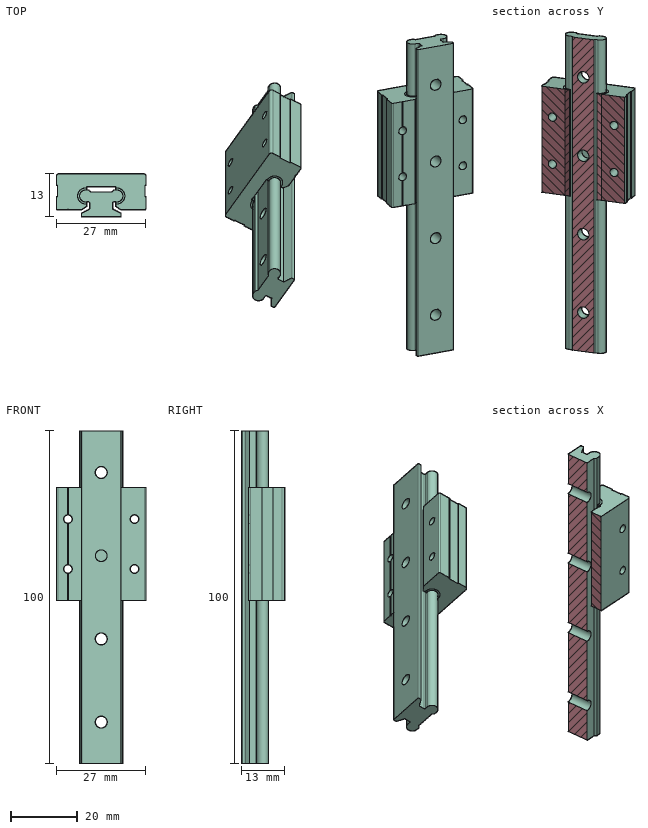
import cadquery as cq

TOTAL_HEIGHT = 13.0
BASE_Y = -TOTAL_HEIGHT / 2

RAIL_LENGTH = 100.0
FOOT_WIDTH = 12.0
FOOT_EDGE_HEIGHT = 1.1
NECK_WIDTH = 7.0
NECK_START_HEIGHT = 2.4
NECK_FILLET = 0.3
FOOT_FILLET = 0.2
WEB_WIDTH = 6.3
WEB_DEPTH = 0.6
BEAD_RADIUS = 1.8
BEAD_X = 4.7
BEAD_HEIGHT = 6.3
RAIL_HOLE_DIAMETER = 3.5
RAIL_HOLE_PITCH = 25.0
RAIL_HOLE_COUNT = 4

LINER_THICKNESS = 0.6
LINER_RADIUS = BEAD_RADIUS + LINER_THICKNESS

CARRIAGE_WIDTH = 27.0
CARRIAGE_LENGTH = 34.0
CARRIAGE_MID_Z = 16.0
CARRIAGE_UNDERSIDE_HEIGHT = 2.1
CARRIAGE_TOP_FILLET = 0.8
CARRIAGE_BOTTOM_FILLET = 0.5
CHANNEL_WIDTH = 8.6
CHANNEL_TOP_HEIGHT = 9.0
MOUTH_WIDTH = 11.8
MOUTH_TOP_HEIGHT = 3.2
SIDE_GROOVE_DEPTH = 0.3
SIDE_GROOVE_BOTTOM_HEIGHT = 6.1
SIDE_GROOVE_TOP_HEIGHT = 9.5
MOUNT_HOLE_DIAMETER = 2.5
MOUNT_SPACING_X = 20.0
MOUNT_SPACING_Z = 15.0
MARK_WIDTH = 0.4
MARK_DEPTH = 0.2

CARRIAGE_BOTTOM_Z = CARRIAGE_MID_Z - CARRIAGE_LENGTH / 2
BEAD_Y = BASE_Y + BEAD_HEIGHT
SIDES = (-1, 1)
SELECTION_REACH = 0.05


def extrude_along_carriage(outline):
    """Prism over the carriage length with the given XY outline."""
    return (
        cq.Workplane("XY", origin=(0, 0, CARRIAGE_BOTTOM_Z))
        .polyline(outline)
        .close()
        .extrude(CARRIAGE_LENGTH)
    )


def carriage_block(width, bottom_height, top_height, mid_x=0.0):
    """Rectangular prism over the carriage length, between two heights above the rail base."""
    height = top_height - bottom_height
    middle = (mid_x, BASE_Y + bottom_height + height / 2, CARRIAGE_MID_Z)
    return cq.Workplane("XY").box(width, height, CARRIAGE_LENGTH).translate(middle)


def bead_cylinder(side, radius, length, bottom_z):
    """Cylinder along Z on the axis of the rail's left (-1) or right (+1) bead."""
    axis = (side * BEAD_X, BEAD_Y, bottom_z)
    return cq.Workplane("XY", origin=axis).circle(radius).extrude(length)


def holes_along_y(places, diameter):
    """Drills along Y, longer than the assembly is high, at (x, z) places."""
    drill_start = cq.Workplane("XZ", origin=(0, TOTAL_HEIGHT, 0))
    return drill_start.pushPoints(places).circle(diameter / 2).extrude(2 * TOTAL_HEIGHT)


def lengthwise_edges(half_spacing, y):
    """Selector for the mirrored pair of edges along Z at x = -half_spacing and +half_spacing."""
    selector = None
    for side in SIDES:
        x = side * half_spacing
        box = cq.selectors.BoxSelector(
            (x - SELECTION_REACH, y - SELECTION_REACH, -RAIL_LENGTH),
            (x + SELECTION_REACH, y + SELECTION_REACH, RAIL_LENGTH),
        )
        selector = box if selector is None else selector + box
    return selector


def make_rail():
    """Rail with a trapezoid foot, a narrow neck, two beads and a row of fixing holes."""
    half_foot = FOOT_WIDTH / 2
    half_neck = NECK_WIDTH / 2
    half_web = WEB_WIDTH / 2
    foot_top_y = BASE_Y + FOOT_EDGE_HEIGHT
    neck_start_y = BASE_Y + NECK_START_HEIGHT
    bead_bottom_y = BEAD_Y - BEAD_RADIUS
    bead_top_y = BEAD_Y + BEAD_RADIUS
    web_y = bead_top_y - WEB_DEPTH
    rail = (
        cq.Workplane("XY", origin=(0, 0, -RAIL_LENGTH / 2))
        .moveTo(-half_foot, BASE_Y)
        .lineTo(half_foot, BASE_Y)
        .lineTo(half_foot, foot_top_y)
        .lineTo(half_neck, neck_start_y)
        .lineTo(half_neck, bead_bottom_y)
        .lineTo(BEAD_X, bead_bottom_y)
        .threePointArc((BEAD_X + BEAD_RADIUS, BEAD_Y), (BEAD_X, bead_top_y))
        .lineTo(half_web + WEB_DEPTH, bead_top_y)
        .lineTo(half_web, web_y)
        .lineTo(-half_web, web_y)
        .lineTo(-half_web - WEB_DEPTH, bead_top_y)
        .lineTo(-BEAD_X, bead_top_y)
        .threePointArc((-BEAD_X - BEAD_RADIUS, BEAD_Y), (-BEAD_X, bead_bottom_y))
        .lineTo(-half_neck, bead_bottom_y)
        .lineTo(-half_neck, neck_start_y)
        .lineTo(-half_foot, foot_top_y)
        .close()
        .extrude(RAIL_LENGTH)
    )
    rail = rail.edges(lengthwise_edges(half_neck, bead_bottom_y)).fillet(NECK_FILLET)
    for y in (BASE_Y, foot_top_y):
        rail = rail.edges(lengthwise_edges(half_foot, y)).fillet(FOOT_FILLET)

    first_hole_z = -RAIL_HOLE_PITCH * (RAIL_HOLE_COUNT - 1) / 2
    hole_places = [(0, first_hole_z + i * RAIL_HOLE_PITCH) for i in range(RAIL_HOLE_COUNT)]
    return rail.cut(holes_along_y(hole_places, RAIL_HOLE_DIAMETER))


def make_liner(side):
    """C-shaped sliding liner around one bead, open towards the middle of the rail."""
    ring = bead_cylinder(side, LINER_RADIUS, CARRIAGE_LENGTH, CARRIAGE_BOTTOM_Z).cut(
        bead_cylinder(side, BEAD_RADIUS, CARRIAGE_LENGTH, CARRIAGE_BOTTOM_Z)
    )
    return ring.cut(carriage_block(CHANNEL_WIDTH, 0, TOTAL_HEIGHT))


def reference_mark():
    """Shallow V-groove along the underside, through the left mounting holes."""
    mid_x = -MOUNT_SPACING_X / 2
    underside_y = BASE_Y + CARRIAGE_UNDERSIDE_HEIGHT
    return extrude_along_carriage([
        (mid_x - MARK_WIDTH / 2, underside_y),
        (mid_x, underside_y + MARK_DEPTH),
        (mid_x + MARK_WIDTH / 2, underside_y),
    ])


def make_carriage():
    """Block that wraps the rail beads and holds the liners."""
    carriage = carriage_block(CARRIAGE_WIDTH, CARRIAGE_UNDERSIDE_HEIGHT, TOTAL_HEIGHT)
    carriage = carriage.edges("|Z and >Y").fillet(CARRIAGE_TOP_FILLET)
    carriage = carriage.edges("|Z and <Y").fillet(CARRIAGE_BOTTOM_FILLET)

    carriage = carriage.cut(carriage_block(CHANNEL_WIDTH, 0, CHANNEL_TOP_HEIGHT))
    carriage = carriage.cut(extrude_along_carriage([
        (-MOUTH_WIDTH / 2, BASE_Y + CARRIAGE_UNDERSIDE_HEIGHT),
        (-CHANNEL_WIDTH / 2, BASE_Y + MOUTH_TOP_HEIGHT),
        (CHANNEL_WIDTH / 2, BASE_Y + MOUTH_TOP_HEIGHT),
        (MOUTH_WIDTH / 2, BASE_Y + CARRIAGE_UNDERSIDE_HEIGHT),
    ]))
    for side in SIDES:
        carriage = carriage.cut(
            bead_cylinder(side, LINER_RADIUS, CARRIAGE_LENGTH, CARRIAGE_BOTTOM_Z)
        )
        side_groove = carriage_block(
            2 * SIDE_GROOVE_DEPTH,
            SIDE_GROOVE_BOTTOM_HEIGHT,
            SIDE_GROOVE_TOP_HEIGHT,
            side * CARRIAGE_WIDTH / 2,
        )
        carriage = carriage.cut(side_groove)

    mount_places = [
        (side_x * MOUNT_SPACING_X / 2, CARRIAGE_MID_Z + side_z * MOUNT_SPACING_Z / 2)
        for side_x in SIDES
        for side_z in SIDES
    ]
    carriage = carriage.cut(holes_along_y(mount_places, MOUNT_HOLE_DIAMETER))
    return carriage.cut(reference_mark())


rail = make_rail()
carriage = make_carriage()
liners = [make_liner(side) for side in SIDES]

result = cq.Compound.makeCompound([
    rail.val(),
    carriage.val(),
    *[liner.val() for liner in liners],
])